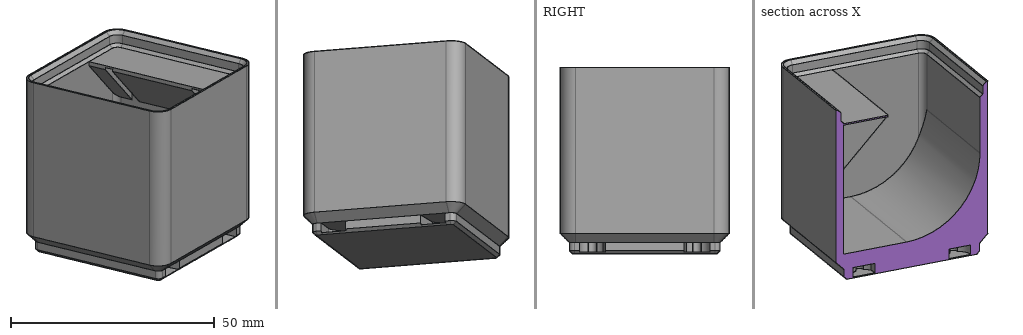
import cadquery as cq
import math

width = 41.5
height = 45.75
outer_radius = 3.75

foot_inset = 2.25
foot_radius = 1.3
foot_chamfer = 0.8
foot_straight_top = 2.8
body_bottom = foot_straight_top + foot_inset

rim_width = 0.5
lip_top_chamfer = 0.95
lip_straight = 2.2
wall = 2.25
lip_bottom_chamfer = wall - rim_width - lip_top_chamfer
lip_bottom = height - lip_top_chamfer - lip_straight - lip_bottom_chamfer

floor_height = 7.0
scoop_radius = 20.0
shelf_depth = 12.05
shelf_thickness = 1.05
groove_offset = 12.65
groove_width = 2.1
groove_depth = 0.55

slot_offset = 12.8
slot_radius = 3.15
slot_bottom = 0.4
slot_inner_narrowing = 0.65
notch_radius = 1.05

half_width = width / 2
cavity_half = half_width - wall
cavity_radius = outer_radius - wall


def rounded_square(inset, radius, z):
    """Face at height z: the outer square moved inward by inset, with rounded corners."""
    side = width - 2 * inset
    sketch = cq.Sketch().rect(side, side).vertices().fillet(radius)
    return cq.Workplane("XY", origin=(0, 0, z)).placeSketch(sketch)


def prism(inset, radius, bottom, top):
    return rounded_square(inset, radius, bottom).extrude(top - bottom)


def flare(inset, radius, bottom, top):
    """Block that widens upward at 45 degrees from the given lower outline."""
    return rounded_square(inset, radius, bottom).extrude(top - bottom, taper=-45)


def make_body():
    foot_bottom_radius = foot_radius - foot_chamfer
    foot = flare(foot_inset + foot_chamfer, foot_bottom_radius, 0, foot_chamfer)
    foot = foot.union(prism(foot_inset, foot_radius, foot_chamfer, foot_straight_top))
    flare_radius = outer_radius - foot_inset
    foot = foot.union(flare(foot_inset, flare_radius, foot_straight_top, body_bottom))
    return foot.union(prism(0, outer_radius, body_bottom, height))


def make_lip_opening():
    lip_inset = wall - lip_bottom_chamfer
    lip_radius = outer_radius - lip_inset
    straight_bottom = lip_bottom + lip_bottom_chamfer
    straight_top = straight_bottom + lip_straight
    opening = flare(wall, cavity_radius, lip_bottom, straight_bottom)
    opening = opening.union(prism(lip_inset, lip_radius, straight_bottom, straight_top))
    return opening.union(flare(lip_inset, lip_radius, straight_top, height))


def make_scoop():
    """Fillet-shaped filler between the floor and the front wall."""
    diagonal = scoop_radius * (1 - math.sqrt(0.5))
    return (
        cq.Workplane("YZ", origin=(-cavity_half, 0, 0))
        .moveTo(-cavity_half, floor_height)
        .lineTo(-cavity_half + scoop_radius, floor_height)
        .threePointArc(
            (-cavity_half + diagonal, floor_height + diagonal),
            (-cavity_half, floor_height + scoop_radius),
        )
        .close()
        .extrude(2 * cavity_half)
    )


def make_shelf():
    """Shelf with a 45 degree underside and two grooves running from its front edge to the back wall."""
    shelf_front = cavity_half - shelf_depth
    edge_bottom = lip_bottom - shelf_thickness
    root_bottom = edge_bottom - shelf_depth
    shelf = (
        cq.Workplane("YZ", origin=(-cavity_half, 0, 0))
        .moveTo(shelf_front, lip_bottom)
        .lineTo(cavity_half, lip_bottom)
        .lineTo(cavity_half, root_bottom)
        .lineTo(shelf_front, edge_bottom)
        .close()
        .extrude(2 * cavity_half)
    )
    groove_height = edge_bottom + groove_depth - root_bottom
    for x in (-groove_offset, groove_offset):
        groove = cq.Workplane("XY", origin=(x, shelf_front, root_bottom)).box(
            groove_width, shelf_depth, groove_height, centered=(True, False, False)
        )
        shelf = shelf.cut(groove)
    return shelf


def make_magnet_slot():
    """Slot at the (-X, +Y) corner: straight outer wall, round end, slightly narrowing inner wall."""
    arc_end_y = slot_radius - slot_inner_narrowing
    arc_end_x = math.sqrt(slot_radius**2 - arc_end_y**2)
    slot_height = foot_straight_top - slot_bottom
    plane = cq.Workplane("XY", origin=(-slot_offset, slot_offset, slot_bottom))
    mouth = slot_offset - half_width + foot_inset
    slot = (
        plane.moveTo(mouth, slot_radius)
        .lineTo(0, slot_radius)
        .threePointArc((slot_radius, 0), (arc_end_x, -arc_end_y))
        .lineTo(mouth, -slot_radius)
        .close()
        .extrude(slot_height)
    )
    notch = plane.center(slot_radius, 0).circle(notch_radius).extrude(slot_height)
    return slot.union(notch)


cavity = prism(wall, cavity_radius, floor_height, lip_bottom)
cavity = cavity.cut(make_scoop()).cut(make_shelf())

corner_slot = make_magnet_slot()
side_slots = corner_slot.union(corner_slot.mirror("XZ"))

result = make_body().cut(make_lip_opening()).cut(cavity)
result = result.cut(side_slots).cut(side_slots.mirror("YZ"))